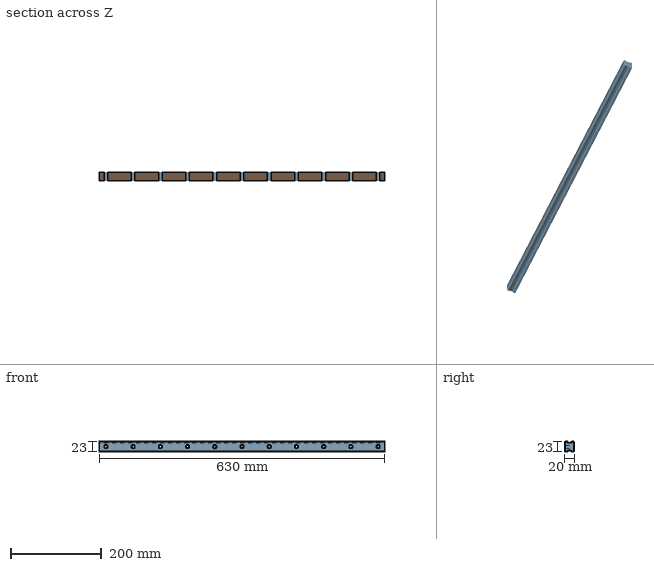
import cadquery as cq

LENGTH = 630.0
HEIGHT = 20.0
WIDTH = 23.0

HEAD_FACE = HEIGHT / 2
FOOT_FACE = -HEIGHT / 2
HEAD_LIP = 5.65
RACEWAY_EDGE = 4.9
WAIST_HEAD_SIDE = 2.2
WAIST_FOOT_SIDE = -2.0
FOOT_LIP = -5.3

HALF_WIDTH = WIDTH / 2
HALF_WAIST = 8.9
HALF_RACEWAY_EDGE = 10.4
FOOT_LIP_DEPTH = 0.5
HALF_FOOT_LIP = HALF_WIDTH - FOOT_LIP_DEPTH

HEAD_CHAMFER = 2.0
FOOT_CHAMFER = 1.2
RACEWAY_RADIUS = 9.5

HOLE_DIAMETER = 7.0
HOLE_PITCH = 60.0
HOLE_COUNT = 11


def half_section():
    """+Z half of the rail section: chamfered head, beveled lip, concave raceway, waist, sloped foot."""
    return (
        cq.Workplane("YZ")
        .moveTo(HEAD_FACE, 0)
        .lineTo(HEAD_FACE, HALF_WIDTH - HEAD_CHAMFER)
        .lineTo(HEAD_FACE - HEAD_CHAMFER, HALF_WIDTH)
        .lineTo(HEAD_LIP, HALF_WIDTH)
        .lineTo(RACEWAY_EDGE, HALF_RACEWAY_EDGE)
        .radiusArc((WAIST_HEAD_SIDE, HALF_WAIST), RACEWAY_RADIUS)
        .lineTo(WAIST_FOOT_SIDE, HALF_WAIST)
        .lineTo(FOOT_LIP, HALF_FOOT_LIP)
        .lineTo(FOOT_LIP, HALF_WIDTH)
        .lineTo(FOOT_FACE + FOOT_CHAMFER, HALF_WIDTH)
        .lineTo(FOOT_FACE, HALF_WIDTH - FOOT_CHAMFER)
        .lineTo(FOOT_FACE, 0)
        .close()
    )


def rail_body():
    """Half section extruded along X, centred on the origin and mirrored about Z = 0."""
    half = half_section().extrude(LENGTH / 2, both=True)
    return half.union(half.mirror("XY")).clean()


def mounting_holes():
    """Row of through holes along Y, centred on the rail length."""
    row = cq.Workplane("XZ").rarray(HOLE_PITCH, 1, HOLE_COUNT, 1)
    return row.circle(HOLE_DIAMETER / 2).extrude(HEIGHT / 2, both=True)


result = rail_body().cut(mounting_holes())